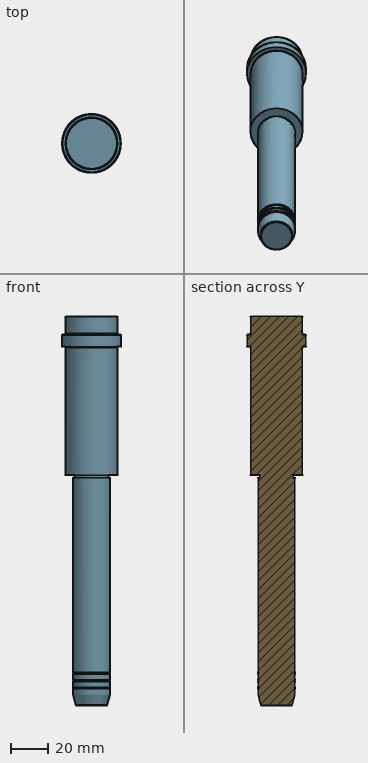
import cadquery as cq

total_length = 210.0

sleeve_radius = 14.0
sleeve_length = 85.7
sleeve_chamfer = 0.5
collar_radius = 16.0
collar_top_drop = 9.9
collar_height = 6.5
collar_chamfer = 0.5

pin_radius = 10.0
neck_radius = 9.2
neck_length = 1.5

taper_length = 6.0
tip_radius = 8.6
tip_chamfer = 0.5

groove_count = 3
groove_pitch = 4.0
lowest_groove_height = 9.5
groove_width = 1.0
groove_depth = 0.5

relief_width = 0.6
relief_depth = 0.1

sleeve_bottom = total_length - sleeve_length
collar_bottom = total_length - collar_top_drop - collar_height


def cylinder(radius, bottom, height):
    return cq.Workplane("XY").workplane(offset=bottom).circle(radius).extrude(height)


def turn(profile):
    """Revolve a closed outline of (radius, height) points about Z."""
    return cq.Workplane("XZ").polyline(profile).close().revolve(360, (0, 0, 0), (0, 1, 0))


def make_pin():
    """Pin with a tapered, chamfered tip and a narrower neck."""
    shoulder = sleeve_bottom - neck_length
    profile = [
        (0, 0),
        (tip_radius - tip_chamfer, 0),
        (tip_radius, tip_chamfer),
        (pin_radius, taper_length),
        (pin_radius, shoulder),
        (neck_radius, shoulder),
        (neck_radius, sleeve_bottom),
        (0, sleeve_bottom),
    ]
    return turn(profile)


def make_sleeve():
    """Sleeve with a collar, both chamfered on their upper rims."""
    collar = cylinder(collar_radius, collar_bottom, collar_height)
    collar = collar.faces(">Z").chamfer(collar_chamfer)
    sleeve = cylinder(sleeve_radius, sleeve_bottom, sleeve_length)
    return sleeve.faces(">Z").chamfer(sleeve_chamfer).union(collar)


def make_groove(center_height):
    """Ring with a V-shaped section that points at the pin axis."""
    profile = [
        (pin_radius, center_height - groove_width / 2),
        (pin_radius - groove_depth, center_height),
        (pin_radius, center_height + groove_width / 2),
    ]
    return turn(profile)


def make_relief(bottom):
    """Shallow ring that thins the sleeve beside the collar."""
    outer = cylinder(sleeve_radius, bottom, relief_width)
    return outer.cut(cylinder(sleeve_radius - relief_depth, bottom, relief_width))


result = make_pin().union(make_sleeve())
for index in range(groove_count):
    result = result.cut(make_groove(lowest_groove_height + index * groove_pitch))
for bottom in (collar_bottom - relief_width, collar_bottom + collar_height):
    result = result.cut(make_relief(bottom))